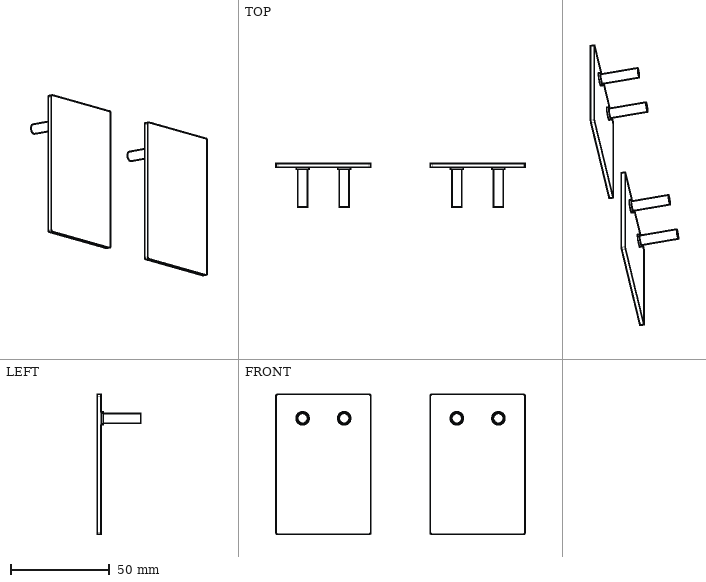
import cadquery as cq

overall_length = 126.0

plate_width = 48.0
plate_height = 71.0
plate_thickness = 2.0
corner_radius = 1.0
plate_spacing = overall_length - plate_width

overall_depth = 22.0
pin_diameter = 5.0
pin_length = overall_depth - plate_thickness
collar_diameter = 6.5
collar_thickness = 1.0
pin_spacing = 21.0
pin_drop = 12.2
pin_z = plate_height / 2 - pin_drop


def make_plate(center_x):
    """Upright plate with rounded corners, its -Y face on the plane Y = 0."""
    return (
        cq.Workplane("XY")
        .box(plate_width, plate_thickness, plate_height)
        .edges("|Y")
        .fillet(corner_radius)
        .translate((center_x, plate_thickness / 2, 0))
    )


def make_pin(center_x):
    """Round pin pointing toward -Y, with a thin collar against the plate."""
    base = cq.Workplane("XZ", origin=(center_x, 0, pin_z))
    shank = base.circle(pin_diameter / 2).extrude(pin_length)
    collar = base.circle(collar_diameter / 2).extrude(collar_thickness)
    return shank.union(collar)


plates = []
pins = []
for plate_side in (-1, 1):
    plate_x = plate_side * plate_spacing / 2
    plates.append(make_plate(plate_x).val())
    for pin_side in (-1, 1):
        pin_x = plate_x + pin_side * pin_spacing / 2
        pins.append(make_pin(pin_x).val())

result = cq.Compound.makeCompound([*plates, *pins])